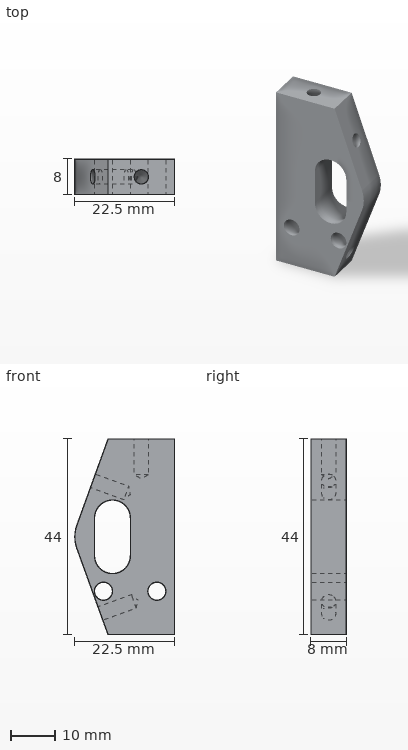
import cadquery as cq
import math

height = 44.0
width = 22.5
thickness = 8.0
end_width = 15.0
nose_radius = 7.6

slot_width = 8.0
slot_length = 16.5
slot_x = -14.0
pin_diameter = 4.0
pin_z = -12.25
pin_xs = (-16.0, -4.0)

drill_diameter = 3.2
drill_tip_angle = 118.0
drill_depth = 8.0
top_hole_x = -end_width / 2
upper_hole_z = 12.6
lower_hole_z = -17.25

nose_x = nose_radius - width
corner_x = -end_width
corner_z = height / 2
corner_distance = math.hypot(corner_x - nose_x, corner_z)
corner_angle = math.atan2(corner_z, corner_x - nose_x)
tangent_angle = corner_angle + math.acos(nose_radius / corner_distance)
tangent_x = nose_x + nose_radius * math.cos(tangent_angle)
tangent_z = nose_radius * math.sin(tangent_angle)
flank_slope = (corner_x - tangent_x) / (corner_z - tangent_z)
inward_x = -math.cos(tangent_angle)
inward_z = math.sin(tangent_angle)


def make_plate():
    return (
        cq.Workplane("XZ")
        .moveTo(0, -corner_z)
        .lineTo(0, corner_z)
        .lineTo(corner_x, corner_z)
        .lineTo(tangent_x, tangent_z)
        .threePointArc((-width, 0), (tangent_x, -tangent_z))
        .lineTo(corner_x, -corner_z)
        .close()
        .extrude(thickness / 2, both=True)
    )


def make_slot():
    return (
        cq.Workplane("XZ")
        .center(slot_x, 0)
        .slot2D(slot_length, slot_width, 90)
        .extrude(thickness, both=True)
    )


def make_pin_holes():
    return (
        cq.Workplane("XZ")
        .pushPoints([(x, pin_z) for x in pin_xs])
        .circle(pin_diameter / 2)
        .extrude(thickness, both=True)
    )


def make_drill(x, z, direction):
    """Drilled hole with a conical tip, starting slightly outside the edge at (x, z)."""
    radius = drill_diameter / 2
    tip_length = radius / math.tan(math.radians(drill_tip_angle / 2))
    lead_in = radius
    axis_plane = cq.Plane(origin=(x, 0, z), xDir=(0, 1, 0), normal=direction)
    profile_plane = cq.Workplane(axis_plane).transformed(rotate=(90, 0, 0))
    return (
        profile_plane
        .moveTo(0, -lead_in)
        .lineTo(radius, -lead_in)
        .lineTo(radius, drill_depth)
        .lineTo(0, drill_depth + tip_length)
        .close()
        .revolve(360, (0, 0), (0, 1))
    )


def flank_x(z):
    """X of the sloped flank at height z."""
    return corner_x - flank_slope * (corner_z - abs(z))


top_hole = make_drill(top_hole_x, corner_z, (0, 0, -1))
upper_hole = make_drill(flank_x(upper_hole_z), upper_hole_z, (inward_x, 0, -inward_z))
lower_hole = make_drill(flank_x(lower_hole_z), lower_hole_z, (inward_x, 0, inward_z))

result = make_plate().cut(make_slot()).cut(make_pin_holes())
for drill in (top_hole, upper_hole, lower_hole):
    result = result.cut(drill)